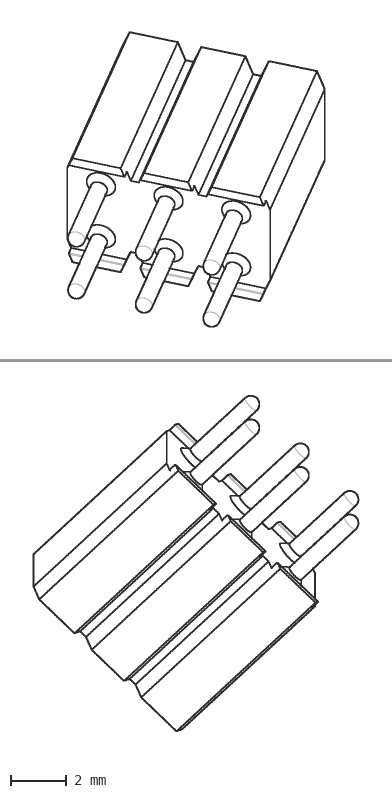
import cadquery as cq
import math

pitch = 2.54
columns = 3
rows = 2

body_width = columns * pitch
body_height = rows * pitch
overall_length = 10
pin_reach = 3.3
body_length = overall_length - pin_reach

groove_depth = 0.8
groove_floor_width = 0.3
groove_wall_run = 0.29

lip_height = 0.4
lip_length = 0.3
lip_edge_radius = 0.03

pin_radius = 0.31
collar_radius = 0.54
collar_length = 0.24

edge_margin = 0.01

half_width = body_width / 2
half_height = body_height / 2


def centred_positions(count):
    """Positions of count items at the contact pitch, centred on zero."""
    return [(i - (count - 1) / 2) * pitch for i in range(count)]


def along_y(profile, start, end):
    """Extrude an XZ profile from Y = start to Y = end."""
    return profile.extrude(start - end).translate((0, start, 0))


def top_edge_points():
    """Upper half of the body outline, from the left side to the right side."""
    shoulder = half_height - groove_depth
    half_floor = groove_floor_width / 2
    half_mouth = half_floor + groove_wall_run
    points = [(-half_width, shoulder), (-half_width + groove_wall_run, half_height)]
    for x in centred_positions(columns - 1):
        points += [
            (x - half_mouth, half_height),
            (x - half_floor, shoulder),
            (x + half_floor, shoulder),
            (x + half_mouth, half_height),
        ]
    points += [(half_width - groove_wall_run, half_height), (half_width, shoulder)]
    return points


def make_body():
    """Grooved block with lips left standing on the pin face, their inner edges rounded."""
    top = top_edge_points()
    bottom = [(x, -z) for x, z in reversed(top)]
    outline = cq.Workplane("XZ").polyline(top + bottom).close()
    block = along_y(outline, -lip_length, body_length)
    recess = along_y(
        cq.Workplane("XZ").rect(body_width, body_height - 2 * lip_height),
        -lip_length,
        0,
    )
    inner_lip_z = half_height - lip_height
    body = block.cut(recess)
    for z in (-inner_lip_z, inner_lip_z):
        inner_lip_edges = cq.selectors.BoxSelector(
            (-half_width, -lip_length - edge_margin, z - edge_margin),
            (half_width, -lip_length + edge_margin, z + edge_margin),
        )
        body = body.edges(inner_lip_edges).fillet(lip_edge_radius)
    return body


def make_pin():
    """Round-ended pin on the Y axis with a conical collar at the pin face."""
    shank_end = -(pin_reach - pin_radius)
    tip_arc_offset = pin_radius * math.sqrt(0.5)
    return (
        cq.Workplane("XY")
        .lineTo(collar_radius, 0)
        .lineTo(pin_radius, -collar_length)
        .lineTo(pin_radius, shank_end)
        .threePointArc((tip_arc_offset, shank_end - tip_arc_offset), (0, -pin_reach))
        .close()
        .revolve(360, (0, 0), (0, 1))
    )


result = make_body()
pin = make_pin()
for x in centred_positions(columns):
    for z in centred_positions(rows):
        result = result.union(pin.translate((x, 0, z)))